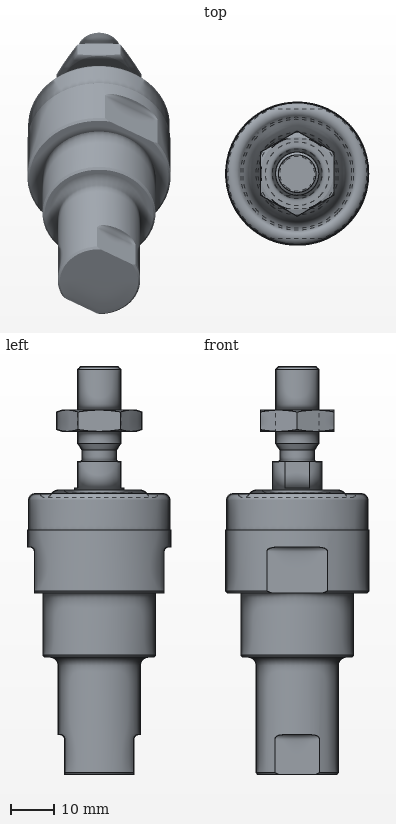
import cadquery as cq
import math

total_height = 94.0
lower_shoulder_z = 27.1
body_bottom_z = 41.8
cap_bottom_z = 56.4
cap_edge_z = 63.4
cap_inner_z = 64.9
collar_top_z = 72.1
neck_top_z = 74.8
thread_bottom_z = 76.3

shank_radius = 19.0 / 2
sleeve_radius = 26.0 / 2
body_radius = 33.0 / 2
cap_radius = 32.6 / 2
collar_radius = 11.5 / 2
neck_radius = 8.0 / 2
thread_radius = 10.0 / 2
thread_tip_radius = 8.65 / 2

edge_chamfer = 0.5
shank_fillet = 1.9
neck_fillet = 0.5
tip_chamfer = thread_radius - thread_tip_radius

rim_crest = (14.8, 64.8)
groove_outer_edge = (13.4, 64.3)
groove_floor = (12.2, 63.8)
groove_inner_edge = (11.2, 64.5)
bead_crest = (9.4, 65.6)
bead_inner_radius = 7.3

flat_corner_radius = 1.0
shank_flat_offset = 8.0
shank_flat_top_z = 9.2
body_flat_offset = 14.9
body_flat_top_z = 52.45
collar_flat_offset = thread_radius
collar_flat_bottom_z = 66.1

nut_bottom_z = 79.1
nut_thickness = 5.0
nut_across_flats = 17.0
nut_face_radius = 8.4
nut_corner_drop = 0.5


def turned_joint():
    """Revolve the half profile of the floating joint about Z."""
    cove = shank_fillet * (1 - math.sqrt(0.5))
    neck_cove = neck_fillet * (1 - math.sqrt(0.5))
    profile = (
        cq.Workplane("XZ")
        .moveTo(0, 0)
        .lineTo(shank_radius - edge_chamfer, 0)
        .lineTo(shank_radius, edge_chamfer)
        .lineTo(shank_radius, lower_shoulder_z - shank_fillet)
        .threePointArc(
            (shank_radius + cove, lower_shoulder_z - cove),
            (shank_radius + shank_fillet, lower_shoulder_z),
        )
        .lineTo(sleeve_radius - edge_chamfer, lower_shoulder_z)
        .lineTo(sleeve_radius, lower_shoulder_z + edge_chamfer)
        .lineTo(sleeve_radius, body_bottom_z)
        .lineTo(body_radius - edge_chamfer, body_bottom_z)
        .lineTo(body_radius, body_bottom_z + edge_chamfer)
        .lineTo(body_radius, cap_bottom_z)
        .lineTo(cap_radius, cap_bottom_z)
        .lineTo(cap_radius, cap_edge_z)
        .threePointArc(rim_crest, groove_outer_edge)
        .threePointArc(groove_floor, groove_inner_edge)
        .threePointArc(bead_crest, (bead_inner_radius, cap_inner_z))
        .lineTo(collar_radius, cap_inner_z)
        .lineTo(collar_radius, collar_top_z)
        .lineTo(neck_radius + neck_fillet, collar_top_z)
        .threePointArc(
            (neck_radius + neck_cove, collar_top_z + neck_cove),
            (neck_radius, collar_top_z + neck_fillet),
        )
        .lineTo(neck_radius, neck_top_z)
        .lineTo(thread_radius, thread_bottom_z)
        .lineTo(thread_radius, total_height - tip_chamfer)
        .lineTo(thread_tip_radius, total_height)
        .lineTo(0, total_height)
        .close()
    )
    return profile.revolve(360, (0, 0, 0), (0, 1, 0))


def flat_cutters(offset, outer_radius, bottom_z, top_z, corner_radius=0.0):
    """Two blocks that leave flats at Y = -offset and Y = +offset, the inner top edge rounded."""
    depth = outer_radius
    block = cq.Workplane("XY").box(
        2 * outer_radius, depth, top_z - bottom_z, centered=(True, False, False)
    )
    if corner_radius > 0:
        block = block.edges(">Z and <Y").fillet(corner_radius)
    block = block.translate((0, offset, bottom_z))
    return block.union(block.mirror("XZ"))


def make_joint():
    """Housing and stud of the joint, with three pairs of wrench flats."""
    shank_flats = flat_cutters(shank_flat_offset, shank_radius, 0, shank_flat_top_z, flat_corner_radius)
    body_flats = flat_cutters(
        body_flat_offset, body_radius, body_bottom_z, body_flat_top_z, flat_corner_radius
    )
    collar_flats = flat_cutters(collar_flat_offset, collar_radius, collar_flat_bottom_z, collar_top_z)
    return turned_joint().cut(shank_flats).cut(body_flats).cut(collar_flats)


def make_nut():
    """Hexagon nut with corners along Y, chamfered on both faces and bored to fit the stud."""
    corner_radius = nut_across_flats / math.sqrt(3)
    hexagon = (
        cq.Workplane("XY")
        .polygon(6, 2 * corner_radius)
        .extrude(nut_thickness)
        .rotate((0, 0, 0), (0, 0, 1), 90)
    )
    chamfer_envelope = (
        cq.Workplane("XY")
        .circle(corner_radius)
        .extrude(nut_thickness)
        .faces("<Z or >Z")
        .edges()
        .chamfer(nut_corner_drop, corner_radius - nut_face_radius)
    )
    bore = cq.Workplane("XY").circle(thread_radius).extrude(nut_thickness)
    return hexagon.intersect(chamfer_envelope).cut(bore).translate((0, 0, nut_bottom_z))


joint = make_joint()
nut = make_nut()
result = cq.Compound.makeCompound([joint.solids().val(), nut.solids().val()])